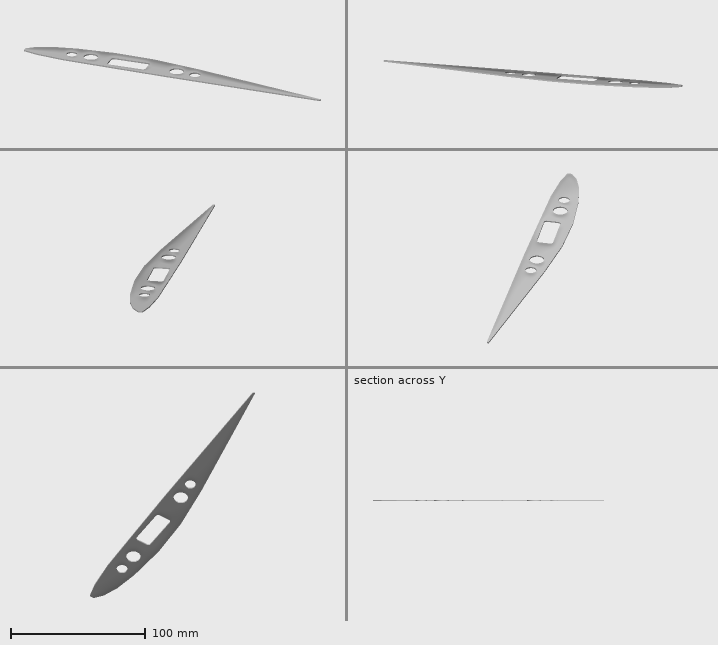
import cadquery as cq

length = 239.0
height = 29.2
thickness = 1.0

upper_edge = [
    (0.0, 14.3),
    (6.5, 19.4),
    (18.0, 23.7),
    (36.0, 27.0),
    (66.2, height),
    (98.0, 27.7),
    (134.0, 22.2),
    (length, 1.5),
]
lower_edge = [
    (238.4, 0.0),
    (115.2, 2.5),
    (66.2, 4.0),
    (33.2, 5.3),
    (11.5, 8.0),
    (0.0, 11.0),
]

window_length = 30.1
window_height = 12.5
window_center = (81.8, 13.9)
window_corner_radius = 2.2

small_diameter = 8.1
large_diameter = 10.8
hole_spacing = 15.0
front_large_center = (51.2, 16.3)
front_small_center = (front_large_center[0] - hole_spacing, 16.0)
rear_large_center = (120.3, 13.1)
rear_small_center = (rear_large_center[0] + hole_spacing, 11.7)


def make_plate():
    return cq.Workplane("XY").polyline(upper_edge + lower_edge).close().extrude(thickness)


def make_window():
    block = cq.Workplane("XY").center(*window_center).rect(window_length, window_height)
    return block.extrude(thickness).edges("|Z").fillet(window_corner_radius)


def make_holes(centers, diameter):
    return cq.Workplane("XY").pushPoints(centers).circle(diameter / 2).extrude(thickness)


result = (
    make_plate()
    .cut(make_window())
    .cut(make_holes([front_small_center, rear_small_center], small_diameter))
    .cut(make_holes([front_large_center, rear_large_center], large_diameter))
)